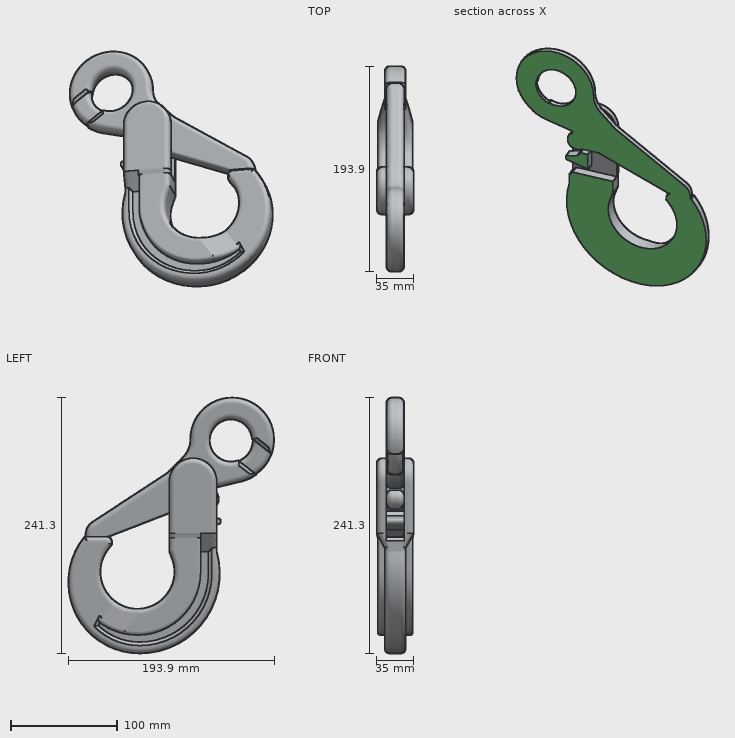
import cadquery as cq
import math


throat_radius = 34.8
rim_half_width = 10.0
hook_fillet = 4.8
outer_center_y = -2.2
outer_center_z = -1.5
outer_radius = 75.5
nose_radius = 67.3
bottom_z = outer_center_z - outer_radius
nose_center_z = bottom_z + nose_radius
tip_z = 33.3
tip_inner_y = 24.0
tip_corner_radius = 5.3
tip_angle = 38
shank_angle = 160

body_half_width = 16.7
body_radius = 59.5
body_edge_fillet = 3.0
body_end_angle = 315
ramp_angle = 216.3
ramp_start = -1.5
ramp_length = 24.5
ramp_sink = 0.05
groove_inset = 7.5
groove_depth = 2.0
groove_wall_taper = 60
groove_top_z = 24.1
groove_end_angle = 316
groove_inner_angle = 311

fork_half_width = 17.5
fork_radius = 22.5
fork_center_y = -52.4
fork_center_z = 84.7
fork_bottom_z = 36.5
fork_fillet = 5.0
fork_inner_y = fork_center_y + fork_radius
fork_outer_y = fork_center_y - fork_radius
body_top_z = 32.3
slot_half_width = 8.5
slot_floor_z = 32.8
slot_lip = 3.5
shoulder_foot_z = 18.8
shoulder_overlap = 0.7

eye_center_y = -89.3
eye_center_z = 124.8
eye_radius = 39.5
hole_center_y = -88.0
hole_center_z = 123.8
hole_radius = 19.8
tail_radius = 41.0
tail_angle = 13.5
tail_end_y = -71.2
neck_radius = 24.1
neck_foot_radius = 19.3
neck_foot_turn = 45
arm_angle = 33.2
arm_top_z = 74.8
arm_end_y = 49.0
arm_end_radius = 14.5
arm_under_y = 26.3
arm_heel_y = -44.7
arm_heel_z = 60.8
heel_center_y = -67.3
heel_center_z = 68.5
heel_radius = 9.5
heel_fillet = 5.3
lever_fillet = 5.5
lever_under_fillet = 2.0
saddle_angle = 218
saddle_width = 24.1
saddle_shoulder = 3.4
saddle_inset = 1.5
saddle_hole_inset = 0.7

trigger_nose_y = -75.8
trigger_nose_z = 47.5
trigger_nose_radius = 3.0
trigger_step_y = -66.4
trigger_step_z = 52.9
trigger_crest_y = -63.0
trigger_top_z = 57.0
trigger_back_y = -55.5
trigger_bottom_z = 39.5


def polar(radius, angle, center_y=0.0, center_z=0.0):
    turn = math.radians(angle)
    return (center_y + radius * math.cos(turn), center_z + radius * math.sin(turn))


def plate(outline, half_width):
    """Extrude a closed YZ outline equally to both sides of X = 0."""
    return outline.extrude(half_width, both=True)


def disc(center_y, center_z, radius, half_width):
    return plate(cq.Workplane("YZ").center(center_y, center_z).circle(radius), half_width)


def nearest(x, y, z):
    return cq.selectors.NearestToPointSelector((x, y, z))


def with_mirror(solid):
    return solid.union(solid.mirror("YZ"))


def round_sides(solid, radius):
    """Round the outline edges of the two side faces of a plate."""
    return solid.faces("<X or >X").edges().fillet(radius)


def throat_end(angle, y):
    """End of the throat arc, and the point at the given Y on the tangent there."""
    arc_y, arc_z = polar(throat_radius, angle)
    return (arc_y, arc_z), (y, arc_z + (arc_y - y) / math.tan(math.radians(angle)))


tip_throat, tip_lip = throat_end(tip_angle, tip_inner_y)
shank_throat, shank_corner = throat_end(shank_angle, fork_inner_y)


def hook_rim():
    """Full hook outline from the fork round to the tip, at the width of the rim."""
    shank_outer_z = outer_center_z + math.sqrt(outer_radius**2 - (fork_outer_y - outer_center_y) ** 2)
    tip_outer_y = outer_center_y + math.sqrt(nose_radius**2 - (tip_z - nose_center_z) ** 2)
    outline = (
        cq.Workplane("YZ")
        .moveTo(fork_outer_y, body_top_z)
        .lineTo(fork_outer_y, shank_outer_z)
        .threePointArc(polar(outer_radius, 225, outer_center_y, outer_center_z), (outer_center_y, bottom_z))
        .threePointArc(polar(nose_radius, 330, outer_center_y, nose_center_z), (tip_outer_y, tip_z))
        .lineTo(tip_inner_y, tip_z)
        .lineTo(*tip_lip)
        .lineTo(*tip_throat)
        .threePointArc((0, -throat_radius), shank_throat)
        .lineTo(*shank_corner)
        .lineTo(fork_inner_y, body_top_z)
        .close()
    )
    rim = plate(outline, rim_half_width)
    rim = rim.edges("|X").edges(nearest(0, tip_inner_y, tip_z)).fillet(tip_corner_radius)
    return round_sides(rim, hook_fillet)


def rim_groove():
    """Tapered groove between the raised body and the rim, on the +X side."""
    shank_arc = outer_radius - groove_inset
    nose_arc = nose_radius - groove_inset
    inner_radius = body_radius - hook_fillet
    middle_angle = (270 + groove_end_angle) / 2
    return (
        cq.Workplane("YZ", origin=(rim_half_width, 0, 0))
        .moveTo(-inner_radius, groove_top_z)
        .lineTo(outer_center_y - shank_arc, groove_top_z)
        .lineTo(outer_center_y - shank_arc, outer_center_z)
        .threePointArc(
            polar(shank_arc, 225, outer_center_y, outer_center_z),
            (outer_center_y, bottom_z + groove_inset),
        )
        .threePointArc(
            polar(nose_arc, middle_angle, outer_center_y, nose_center_z),
            polar(nose_arc, groove_end_angle, outer_center_y, nose_center_z),
        )
        .lineTo(*polar(inner_radius, groove_inner_angle))
        .threePointArc((0, -inner_radius), (-inner_radius, 0))
        .close()
        .extrude(-groove_depth, taper=groove_wall_taper)
    )


def ramp_wedge():
    """Space above the ramp that climbs from the rim to the raised body, on one side."""
    reach = 96.5
    foot_x = rim_half_width - ramp_sink
    ramp_end = ramp_start + ramp_length
    above_x = body_half_width + 2.5
    climb = cq.Vector(0, *polar(1, ramp_angle))
    downward = climb.cross(cq.Vector(1, 0, 0)) * -1
    side = cq.Plane(origin=(0, 0, 0), xDir=climb, normal=downward)
    return (
        cq.Workplane(side)
        .moveTo(ramp_start - reach, -foot_x)
        .lineTo(ramp_start, -foot_x)
        .lineTo(ramp_end, -body_half_width)
        .lineTo(ramp_end, -above_x)
        .lineTo(ramp_start - reach, -above_x)
        .close()
        .extrude(reach)
        .mirror("YZ")
    )


def hook_body():
    """Thicker body round the throat, ending in a ramp on each side."""
    outline = (
        cq.Workplane("YZ")
        .moveTo(fork_inner_y, body_top_z)
        .lineTo(-body_radius, body_top_z)
        .lineTo(-body_radius, 0)
        .threePointArc(polar(body_radius, (180 + body_end_angle) / 2), polar(body_radius, body_end_angle))
        .lineTo(*polar(throat_radius, body_end_angle))
        .threePointArc((0, -throat_radius), shank_throat)
        .lineTo(*shank_corner)
        .close()
    )
    body = plate(outline, body_half_width).cut(with_mirror(ramp_wedge()))

    def distance(edge):
        middle = edge.positionAt(0.5)
        return math.hypot(middle.y, middle.z)

    throat_limit = throat_radius + 9.7
    outside_limit = body_radius - 1.0
    body = body.edges("not |X").filter(lambda edge: distance(edge) < throat_limit).fillet(hook_fillet)
    return body.edges("not |X").filter(lambda edge: distance(edge) > outside_limit).fillet(body_edge_fillet)


def taper_under_fork(foot_half_width, foot_z, y_start, y_end):
    """Prism narrowing from the fork's bottom to the given half width at foot_z."""
    return (
        cq.Workplane("XZ", origin=(0, y_start, 0))
        .moveTo(-fork_half_width, fork_bottom_z)
        .lineTo(fork_half_width, fork_bottom_z)
        .lineTo(foot_half_width, foot_z)
        .lineTo(-foot_half_width, foot_z)
        .close()
        .extrude(y_start - y_end)
    )


def fork():
    outline = (
        cq.Workplane("YZ")
        .moveTo(fork_outer_y, fork_bottom_z)
        .lineTo(fork_outer_y, fork_center_z)
        .threePointArc((fork_center_y, fork_center_z + fork_radius), (fork_inner_y, fork_center_z))
        .lineTo(fork_inner_y, fork_bottom_z)
        .close()
    )
    cheeks = plate(outline, fork_half_width).faces("<X or >X").edges("not <Z").fillet(fork_fillet)
    collar = taper_under_fork(body_half_width, body_top_z, -body_radius, fork_inner_y)
    collar = collar.faces(">Y").edges("not #Z").fillet(hook_fillet)
    shoulder_end_y = -body_radius + shoulder_overlap
    shoulder = taper_under_fork(rim_half_width - groove_depth, shoulder_foot_z, fork_outer_y, shoulder_end_y)
    shoulder = shoulder.faces("<Y").edges("not #Z").fillet(fork_fillet)
    return cheeks.union(collar).union(shoulder)


def slot():
    """Opening between the fork cheeks, with a sloped lip at its outer end."""
    top_z = fork_center_z + 2 * fork_radius
    outline = (
        cq.Workplane("YZ")
        .moveTo(fork_inner_y + slot_lip, slot_floor_z)
        .lineTo(fork_outer_y + slot_lip, slot_floor_z)
        .lineTo(fork_outer_y, slot_floor_z - slot_lip)
        .lineTo(fork_outer_y - slot_lip, slot_floor_z - slot_lip)
        .lineTo(fork_outer_y - slot_lip, top_z)
        .lineTo(fork_inner_y + slot_lip, top_z)
        .close()
    )
    return plate(outline, slot_half_width)


def lever_plate():
    """Arm and eye: the rounded side runs tangentially from the arm's end round the eye to the tail."""
    eye_inner_y = eye_center_y + eye_radius
    eye_outer_y = eye_center_y - eye_radius
    arm_slope = math.tan(math.radians(arm_angle))
    arm_end_z = arm_top_z - arm_slope * arm_end_y

    neck_center = (eye_inner_y + neck_radius, eye_center_z)
    neck_end_angle = 270 - neck_foot_turn
    neck_start = polar(neck_radius, neck_end_angle, *neck_center)
    foot_slope = math.tan(math.radians(neck_foot_turn))
    neck_foot_y = (neck_start[1] + foot_slope * neck_start[0] - arm_top_z) / (foot_slope - arm_slope)
    neck_foot_z = arm_top_z - arm_slope * neck_foot_y

    tail_center = (eye_outer_y + tail_radius, eye_center_z)
    tail_start = polar(tail_radius, 270 - tail_angle, *tail_center)
    tail_slope = math.tan(math.radians(tail_angle))
    tail_end_z = tail_start[1] - tail_slope * (tail_end_y - tail_start[0])

    outline = (
        cq.Workplane("YZ")
        .moveTo(arm_end_y, tip_z)
        .lineTo(arm_end_y, arm_end_z)
        .lineTo(neck_foot_y, neck_foot_z)
        .lineTo(*neck_start)
        .threePointArc(
            polar(neck_radius, (180 + neck_end_angle) / 2, *neck_center),
            (eye_inner_y, eye_center_z),
        )
        .threePointArc((eye_center_y, eye_center_z + eye_radius), (eye_outer_y, eye_center_z))
        .threePointArc(polar(tail_radius, 225, *tail_center), tail_start)
        .lineTo(tail_end_y, tail_end_z)
        .lineTo(tail_end_y, arm_heel_z)
        .lineTo(arm_heel_y, arm_heel_z)
        .lineTo(arm_under_y, tip_z)
        .close()
    )
    arm = plate(outline, slot_half_width)
    arm = arm.edges("|X").edges(nearest(0, arm_end_y, arm_end_z)).fillet(arm_end_radius)
    arm = arm.edges("|X").edges(nearest(0, neck_foot_y, neck_foot_z)).fillet(neck_foot_radius)
    arm = arm.cut(disc(hole_center_y, hole_center_z, hole_radius, slot_half_width))

    top_middle = ((arm_end_y + neck_foot_y) / 2, (arm_end_z + neck_foot_z) / 2)
    hole_center = (hole_center_y, hole_center_z)
    under_middle = ((arm_heel_y + arm_under_y) / 2, (arm_heel_z + tip_z) / 2)
    for place, radius in [
        (top_middle, lever_fillet),
        (hole_center, lever_fillet),
        (under_middle, lever_under_fillet),
    ]:
        pair = nearest(-slot_half_width, *place) + nearest(slot_half_width, *place)
        arm = arm.edges("not |X").edges(pair).fillet(radius)
    return arm


def saddle_ring():
    """Slimmer copy of the eye ring that shows only inside the saddle."""
    half_width = slot_half_width - saddle_inset
    ring = disc(eye_center_y, eye_center_z, eye_radius, half_width)
    hole = disc(hole_center_y, hole_center_z, hole_radius + saddle_hole_inset, half_width)
    return round_sides(ring.cut(hole), lever_fillet)


def saddle_strip():
    """Straight strip from the middle of the eye outwards, flaring to sloped shoulders at the side faces."""
    floor_x = slot_half_width - saddle_inset
    floor_half = saddle_width / 2
    flare_half = floor_half + 2 * saddle_shoulder
    strip = (
        cq.Workplane("XZ")
        .moveTo(floor_x, floor_half)
        .lineTo(floor_x + 2 * saddle_inset, flare_half)
        .lineTo(floor_x + 2 * saddle_inset, -flare_half)
        .lineTo(floor_x, -floor_half)
        .lineTo(-floor_x, -floor_half)
        .lineTo(-floor_x - 2 * saddle_inset, -flare_half)
        .lineTo(-floor_x - 2 * saddle_inset, flare_half)
        .lineTo(-floor_x, floor_half)
        .close()
        .extrude(-2 * eye_radius)
    )
    return strip.rotate((0, 0, 0), (1, 0, 0), saddle_angle).translate((0, eye_center_y, eye_center_z))


def lever():
    strip = saddle_strip()
    arm = lever_plate().cut(strip).union(saddle_ring().intersect(strip))
    heel = disc(heel_center_y, heel_center_z, heel_radius, slot_half_width)
    return arm.union(round_sides(heel, heel_fillet))


def trigger():
    """Release catch with a rounded nose, spanning the slot between the cheeks."""
    outline = (
        cq.Workplane("YZ")
        .moveTo(trigger_nose_y, trigger_nose_z + trigger_nose_radius)
        .threePointArc(
            (trigger_nose_y - trigger_nose_radius, trigger_nose_z),
            (trigger_nose_y, trigger_nose_z - trigger_nose_radius),
        )
        .lineTo(trigger_back_y, trigger_bottom_z)
        .lineTo(trigger_back_y, trigger_top_z)
        .lineTo(trigger_crest_y, trigger_top_z)
        .lineTo(trigger_step_y, trigger_step_z)
        .close()
    )
    return plate(outline, slot_half_width)


result = (
    hook_rim()
    .cut(with_mirror(rim_groove()))
    .union(hook_body())
    .union(fork())
    .cut(slot())
    .union(lever())
    .union(trigger())
)